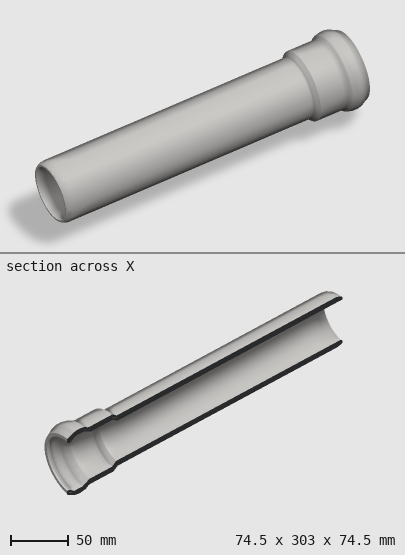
import cadquery as cq

length = 303.0
pipe_radius = 58.0 / 2
bore_radius = 50.0 / 2
plain_end_radius = 26.7
plain_end_rounding = 7.0
plain_end_slope = (1, 1)
axis_direction = (0, 1)

socket_radius = 66.0 / 2
socket_bore_radius = 58.5 / 2
bulge_radius = 74.5 / 2
bulge_edge_radius = 36.5
groove_radius = 67.5 / 2
front_bend_radius = 34.8
lip_radius = 33.5
mouth_radius = 32.7

lip_depth = 1.8
front_bend_depth = 4.5
bulge_start = 7.3
bulge_end = 17.3
rear_bend_depth = 20.3
neck_start = 24.8
shoulder_start = 49.7
shoulder_edge = 0.5
shoulder_end = 54.2

plain_end = -length / 2
socket_face = length / 2


def station(depth):
    """Y position at a depth behind the socket face."""
    return socket_face - depth


def revolve_profile(profile):
    return profile.close().revolve(360, (0, 0, 0), (0, 1, 0))


bend_fraction = (rear_bend_depth - bulge_end) / (neck_start - bulge_end)
rear_bend_radius = bulge_edge_radius + bend_fraction * (socket_radius - bulge_edge_radius)
bulge_middle = (bulge_start + bulge_end) / 2

outer = revolve_profile(
    cq.Workplane("XY")
    .moveTo(0, plain_end)
    .lineTo(plain_end_radius, plain_end)
    .spline(
        [(pipe_radius, plain_end + plain_end_rounding)],
        tangents=[plain_end_slope, axis_direction],
        includeCurrent=True,
    )
    .lineTo(pipe_radius, station(shoulder_end))
    .lineTo(socket_radius - shoulder_edge, station(shoulder_start + shoulder_edge))
    .lineTo(socket_radius, station(shoulder_start))
    .lineTo(socket_radius, station(neck_start))
    .tangentArcPoint((rear_bend_radius, station(rear_bend_depth)), relative=False)
    .tangentArcPoint((bulge_edge_radius, station(bulge_end)), relative=False)
    .threePointArc(
        (bulge_radius, station(bulge_middle)),
        (bulge_edge_radius, station(bulge_start)),
    )
    .lineTo(front_bend_radius, station(front_bend_depth))
    .lineTo(lip_radius, station(lip_depth))
    .lineTo(mouth_radius, socket_face)
    .lineTo(0, socket_face)
)

inner = revolve_profile(
    cq.Workplane("XY")
    .moveTo(0, plain_end)
    .lineTo(bore_radius, plain_end)
    .lineTo(bore_radius, station(shoulder_end))
    .lineTo(socket_bore_radius, station(shoulder_start))
    .lineTo(socket_bore_radius, station(neck_start))
    .lineTo(groove_radius, station(bulge_end))
    .lineTo(groove_radius, station(bulge_start))
    .lineTo(socket_bore_radius, station(lip_depth))
    .lineTo(socket_bore_radius, socket_face)
    .lineTo(0, socket_face)
)

result = outer.cut(inner)